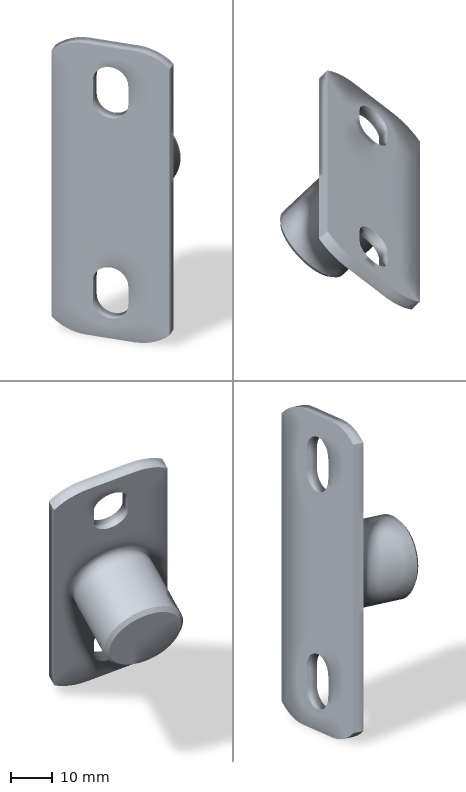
import cadquery as cq
import math

plate_width = 30.0
plate_height = 80.0
plate_thickness = 3.0
flat_edge_width = 12.3
corner_radius = 13.0

slot_width = 9.0
slot_length = 14.0
slot_spacing = 55.0

boss_diameter = 20.95
boss_length = 20.0
boss_tip_chamfer = 1.0
boss_root_fillet = 1.0


def corner_arc_point(angle):
    """Point on the upper right corner arc, with the angle measured from the +Z direction."""
    x = flat_edge_width / 2 + corner_radius * math.sin(angle)
    z = plate_height / 2 - corner_radius * (1 - math.cos(angle))
    return x, z


def make_plate():
    """Plate whose four corners are arcs cut off by the straight sides."""
    arc_run = (plate_width - flat_edge_width) / 2
    end_angle = math.asin(arc_run / corner_radius)
    start_x, start_z = corner_arc_point(0)
    middle_x, middle_z = corner_arc_point(end_angle / 2)
    side_x, side_z = corner_arc_point(end_angle)
    return (
        cq.Workplane("XZ")
        .moveTo(-start_x, start_z)
        .lineTo(start_x, start_z)
        .threePointArc((middle_x, middle_z), (side_x, side_z))
        .lineTo(side_x, -side_z)
        .threePointArc((middle_x, -middle_z), (start_x, -start_z))
        .lineTo(-start_x, -start_z)
        .threePointArc((-middle_x, -middle_z), (-side_x, -side_z))
        .lineTo(-side_x, side_z)
        .threePointArc((-middle_x, middle_z), (-start_x, start_z))
        .close()
        .extrude(-plate_thickness)
    )


def make_slots():
    """Cutters for the two through slots, one above and one below the boss."""
    return (
        cq.Workplane("XZ")
        .pushPoints([(0, -slot_spacing / 2), (0, slot_spacing / 2)])
        .slot2D(slot_length, slot_width, 90)
        .extrude(-plate_thickness)
    )


def make_boss():
    """Boss turned about the Y axis, with a chamfered tip and a concave root fillet."""
    radius = boss_diameter / 2
    root_y = plate_thickness
    tip_y = plate_thickness + boss_length
    fillet_center_x = radius + boss_root_fillet
    fillet_center_y = root_y + boss_root_fillet
    fillet_offset = boss_root_fillet * math.sqrt(0.5)
    return (
        cq.Workplane("XY")
        .moveTo(0, root_y)
        .lineTo(fillet_center_x, root_y)
        .threePointArc(
            (fillet_center_x - fillet_offset, fillet_center_y - fillet_offset),
            (radius, fillet_center_y),
        )
        .lineTo(radius, tip_y - boss_tip_chamfer)
        .lineTo(radius - boss_tip_chamfer, tip_y)
        .lineTo(0, tip_y)
        .close()
        .revolve(360, (0, 0, 0), (0, 1, 0))
    )


result = make_plate().cut(make_slots()).union(make_boss())